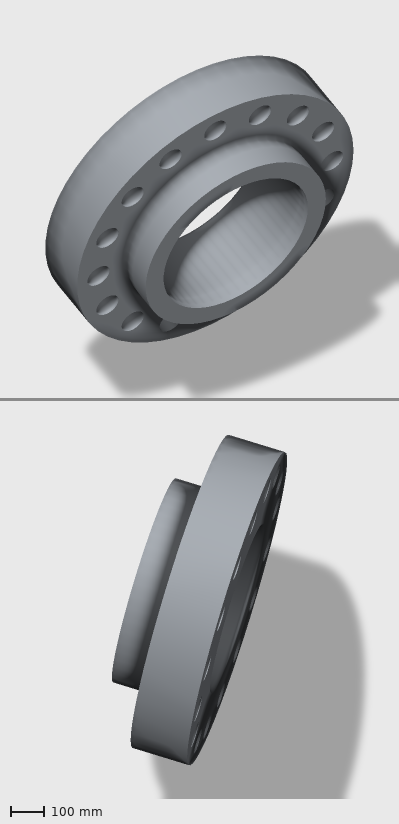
import cadquery as cq

flange_diameter = 984.0
flange_thickness = 178.0
overall_length = 292.0
hub_diameter = 642.0
bore_diameter = 514.0
root_fillet = 12.0
bore_edge_radius = 13.0

bolt_count = 16
bolt_circle_diameter = 832.0
bolt_hole_diameter = 79.0


def disc(diameter, length):
    """Solid cylinder along +X starting at the flange face."""
    return cq.Workplane("YZ").circle(diameter / 2).extrude(length)


body = disc(flange_diameter, flange_thickness).union(disc(hub_diameter, overall_length))

hub_root = cq.selectors.RadiusNthSelector(0)
body = body.edges(cq.selectors.BoxSelector(
    (flange_thickness - root_fillet, -hub_diameter, -hub_diameter),
    (flange_thickness + root_fillet, hub_diameter, hub_diameter),
)).edges("%CIRCLE").edges(hub_root).fillet(root_fillet)

body = body.cut(disc(bore_diameter, overall_length))
body = body.faces("<X").edges(cq.selectors.RadiusNthSelector(0)).fillet(bore_edge_radius)

bolt_holes = (
    cq.Workplane("YZ")
    .polarArray(bolt_circle_diameter / 2, 0, 360, bolt_count)
    .circle(bolt_hole_diameter / 2)
    .extrude(flange_thickness)
)
result = body.cut(bolt_holes)